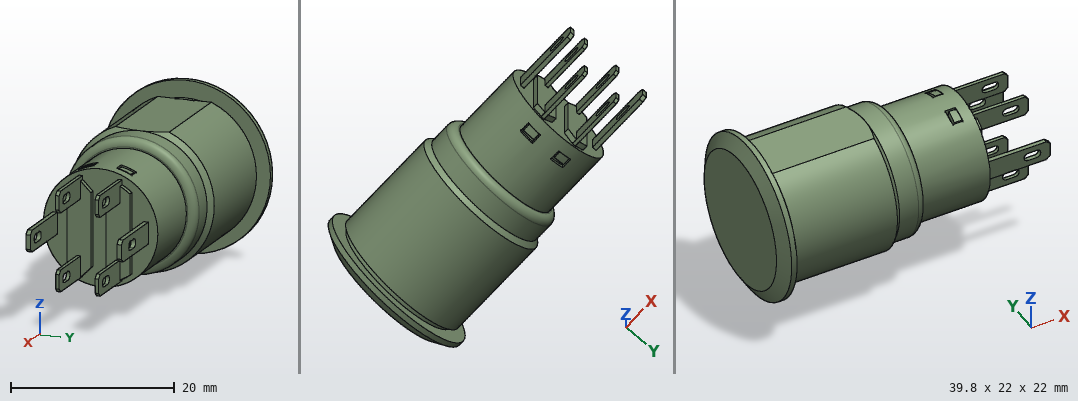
import cadquery as cq
import math


flange_diameter = 22.0
face_diameter = 18.35
flange_bevel_length = 1.1
flange_back_x = 1.87

neck_diameter = 17.5
body_diameter = 18.85
body_start_x = 2.55
body_chamfer = (body_diameter - neck_diameter) / 2
shoulder_start_x = 17.4
shoulder_end_x = 21.15
shoulder_radius = 1.07
key_flat_height = neck_diameter / 2

barrel_diameter = 15.0
barrel_end_x = 30.73

window_start_x = 27.7
window_end_x = 29.15
window_width = 2.0
window_offset_y = 2.5
window_floor_diameter = 13.6
tongue_diameter = 14.9
tongue_width = 1.6
tongue_foot_x = 27.9
tongue_foot_height = 6.13
tongue_top_x = 28.18

rail_end_x = 31.45
rail_inner_y = 1.0
rail_outer_y = 4.1
rail_chamfer = 1.4
rail_upper_diameter = 12.8
rail_lower_diameter = 13.6

blade_width = 2.8
blade_corner_height = 0.48
slot_length = 2.3
slot_width = 1.1
side_blade_y = 5.97
side_blade_thickness = 0.6
side_blade_tip_x = 39.8
side_blade_corner_length = 0.6
inner_blade_y = 2.6
inner_blade_z = 5.0
inner_blade_thickness = 0.48
inner_blade_tip_x = 38.6
inner_blade_corner_length = 0.48
inner_slot_x = 36.18
front_side_slot_x = 37.3
back_side_slot_x = inner_slot_x


def cylinder(diameter, start_x, end_x):
    """Cylinder centred on the X axis."""
    return cq.Workplane("YZ", origin=(start_x, 0, 0)).circle(diameter / 2).extrude(end_x - start_x)


def box(x_range, y_range, z_range):
    """Box given by its lower and upper bound on each axis."""
    spans = (x_range, y_range, z_range)
    sizes = [high - low for low, high in spans]
    middle = tuple((low + high) / 2 for low, high in spans)
    return cq.Workplane("XY").box(*sizes).translate(middle)


def turned_housing():
    """Flange, neck, body, rounded shoulder and barrel as one revolved profile."""
    neck_radius = neck_diameter / 2
    barrel_radius = barrel_diameter / 2
    arc_drop = shoulder_radius * (1 - math.sqrt(0.5))
    profile = (
        cq.Workplane("XY")
        .lineTo(0, face_diameter / 2)
        .lineTo(flange_bevel_length, flange_diameter / 2)
        .lineTo(flange_back_x, flange_diameter / 2)
        .lineTo(flange_back_x, neck_radius)
        .lineTo(body_start_x, neck_radius)
        .lineTo(body_start_x, body_diameter / 2)
        .lineTo(shoulder_start_x - body_chamfer, body_diameter / 2)
        .lineTo(shoulder_start_x, neck_radius)
        .lineTo(shoulder_end_x - shoulder_radius, neck_radius)
        .threePointArc(
            (shoulder_end_x - arc_drop, neck_radius - arc_drop),
            (shoulder_end_x, neck_radius - shoulder_radius),
        )
        .lineTo(shoulder_end_x, barrel_radius)
        .lineTo(barrel_end_x, barrel_radius)
        .lineTo(barrel_end_x, 0)
        .close()
    )
    return profile.revolve(360, (0, 0, 0), (1, 0, 0))


def key_flat_cut():
    """Material above the anti-rotation flat on top of the body."""
    return box(
        (body_start_x, shoulder_start_x),
        (-body_diameter / 2, body_diameter / 2),
        (key_flat_height, body_diameter / 2),
    )


def latch_window_cut(side_y, side_z):
    """Gap around a latch tongue; the tongue front leans back and its top is curved."""
    middle_y = side_y * window_offset_y
    barrel_radius = barrel_diameter / 2
    opening = box(
        (window_start_x, window_end_x),
        (middle_y - window_width / 2, middle_y + window_width / 2),
        tuple(sorted((0, side_z * barrel_radius))),
    ).cut(cylinder(window_floor_diameter, window_start_x, window_end_x))

    tongue = (
        cq.Workplane("XZ", origin=(0, middle_y, 0))
        .moveTo(window_end_x, 0)
        .lineTo(tongue_foot_x, 0)
        .lineTo(tongue_foot_x, side_z * tongue_foot_height)
        .lineTo(tongue_top_x, side_z * tongue_diameter / 2)
        .lineTo(window_end_x, side_z * tongue_diameter / 2)
        .close()
        .extrude(tongue_width / 2, both=True)
        .intersect(cylinder(tongue_diameter, window_start_x, window_end_x))
    )
    return opening.cut(tongue)


def support_rail(side_y):
    """Upright rail with curved ends and bevelled inner corners."""
    upper_radius = rail_upper_diameter / 2
    lower_radius = rail_lower_diameter / 2
    inner_top = math.sqrt(upper_radius**2 - (rail_inner_y + rail_chamfer) ** 2) - rail_chamfer
    inner_bottom = rail_chamfer - math.sqrt(lower_radius**2 - (rail_inner_y + rail_chamfer) ** 2)
    outer_top = math.sqrt(upper_radius**2 - rail_outer_y**2)
    outer_bottom = -math.sqrt(lower_radius**2 - rail_outer_y**2)
    middle_y = (rail_inner_y + rail_chamfer + rail_outer_y) / 2
    outline = (
        cq.Workplane("YZ", origin=(barrel_end_x, 0, 0))
        .moveTo(side_y * rail_inner_y, inner_bottom)
        .lineTo(side_y * rail_inner_y, inner_top)
        .lineTo(side_y * (rail_inner_y + rail_chamfer), inner_top + rail_chamfer)
        .threePointArc(
            (side_y * middle_y, math.sqrt(upper_radius**2 - middle_y**2)),
            (side_y * rail_outer_y, outer_top),
        )
        .lineTo(side_y * rail_outer_y, outer_bottom)
        .threePointArc(
            (side_y * middle_y, -math.sqrt(lower_radius**2 - middle_y**2)),
            (side_y * (rail_inner_y + rail_chamfer), inner_bottom - rail_chamfer),
        )
        .close()
    )
    return outline.extrude(rail_end_x - barrel_end_x)


def blade(y, z, thickness, tip_x, corner_length, slot_x):
    """Terminal blade with a clipped tip and a soldering slot."""
    half_width = blade_width / 2
    half_tip = half_width - blade_corner_height
    body = (
        cq.Workplane("XZ", origin=(0, y, z))
        .moveTo(barrel_end_x, -half_width)
        .lineTo(tip_x - corner_length, -half_width)
        .lineTo(tip_x, -half_tip)
        .lineTo(tip_x, half_tip)
        .lineTo(tip_x - corner_length, half_width)
        .lineTo(barrel_end_x, half_width)
        .close()
        .extrude(thickness / 2, both=True)
    )
    slot = (
        cq.Workplane("XZ", origin=(0, y, z))
        .center(slot_x, 0)
        .slot2D(slot_length, slot_width)
        .extrude(thickness, both=True)
    )
    return body.cut(slot)


def side_blade(side_y, slot_x):
    """Long terminal beside the rails."""
    return blade(
        side_y * side_blade_y, 0, side_blade_thickness, side_blade_tip_x, side_blade_corner_length, slot_x
    )


def inner_blade(side_y, side_z):
    """Shorter terminal standing on a rail end."""
    return blade(
        side_y * inner_blade_y,
        side_z * inner_blade_z,
        inner_blade_thickness,
        inner_blade_tip_x,
        inner_blade_corner_length,
        inner_slot_x,
    )


result = turned_housing().cut(key_flat_cut())
for side_y in (-1, 1):
    result = result.union(support_rail(side_y))
    for side_z in (-1, 1):
        result = result.cut(latch_window_cut(side_y, side_z))
        result = result.union(inner_blade(side_y, side_z))
result = result.union(side_blade(-1, front_side_slot_x))
result = result.union(side_blade(1, back_side_slot_x))